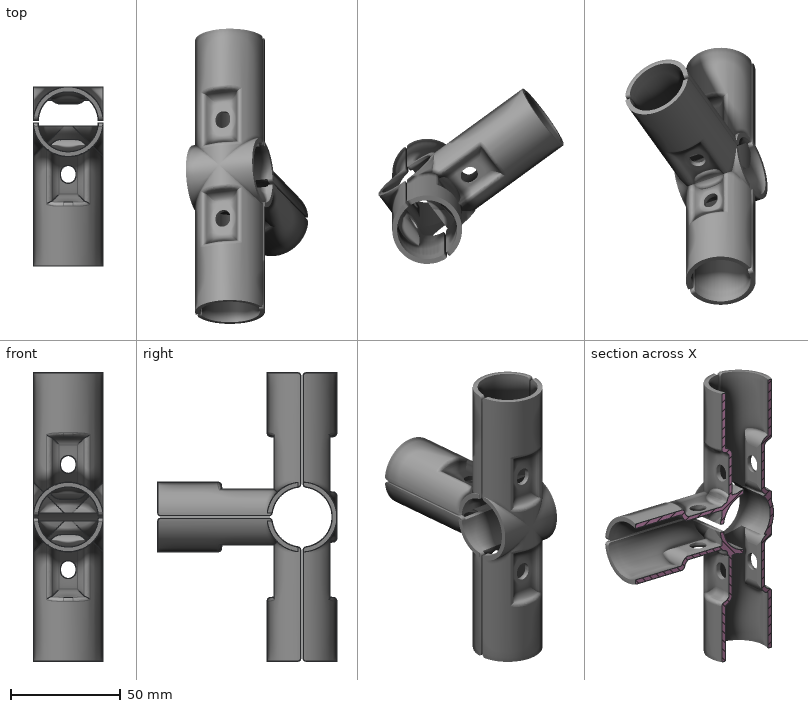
import cadquery as cq
import math

outer_radius = 16.0
bore_radius = 13.7
arm_length = 66.0
half_gap = 0.5
core_setback = 1.8
bore_meeting = bore_radius * math.sin(math.pi / 4)
split_round = 1.6

pocket_floor = 10.3
pocket_width = 15.7
pocket_start = 11.5
pocket_end = 36.7
floor_round = 3.7
rim_round = 1.8
boss_width = 18.1
boss_wall = 2.2

slot_center = 24.0
slot_width = 7.0
slot_length = 8.0

beyond = 3 * arm_length


def upright_cylinder(radius):
    return cq.Workplane("XY").circle(radius).extrude(arm_length)


def cross_cylinder(radius):
    return cq.Workplane("YZ").circle(radius).extrude(outer_radius, both=True)


def block_from(y_limit, z_limit):
    """Large block that fills y < -y_limit and z > z_limit."""
    block = cq.Workplane("XY").box(beyond, beyond, beyond, centered=(True, False, False))
    return block.translate((0, -beyond - y_limit, z_limit))


def rounded_block(width, growth):
    """Block on the -Y side that reaches past the pocket by the growth; its floor edges are rounded."""
    length = pocket_end - pocket_start + 2 * growth
    block = cq.Workplane("XY").box(width, outer_radius, length, centered=(True, False, False))
    block = block.translate((0, growth - pocket_floor - outer_radius, pocket_start - growth))
    return block.faces(">Y").edges().fillet(floor_round + growth)


def is_pocket_rim(edge):
    """True for an edge that lies on the outer surface, where the pocket breaks through it."""
    points = [edge.positionAt(place) for place in (0, 0.5, 1)]
    center = edge.Center()
    on_surface = all(math.isclose(math.hypot(p.x, p.y), outer_radius, abs_tol=0.001) for p in points)
    return on_surface and center.y < 0 and 0 < center.z < arm_length and abs(center.x) < bore_radius


def half_arm():
    """Half tube on the -Y side that runs up +Z, with its pocket, boss and slot."""
    arm = upright_cylinder(outer_radius).cut(rounded_block(pocket_width, 0))
    rim = [edge for edge in arm.edges().vals() if is_pocket_rim(edge)]
    arm = arm.newObject(rim).fillet(rim_round)
    arm = arm.cut(upright_cylinder(bore_radius).cut(rounded_block(boss_width, boss_wall)))
    slot = cq.Workplane("XZ").center(0, slot_center).slot2D(slot_length, slot_width, 90)
    arm = arm.cut(slot.extrude(outer_radius))
    arm = arm.intersect(block_from(half_gap, 0))
    return arm.faces(">Y").edges(">Z").fillet(split_round)


def bore_clearance(block):
    """Cut the cross bore from a block and round the two corners where it breaks out."""
    bored = block.cut(cq.Workplane("YZ").circle(bore_radius).extrude(beyond, both=True))
    corners = [edge for edge in bored.edges("|X").vals()
               if math.isclose(math.hypot(edge.Center().y, edge.Center().z), bore_radius, abs_tol=0.001)]
    return bored.newObject(corners).fillet(split_round)


def corner_shell(arm, side):
    """Front shell above (side 1) or below (side -1): two half arms and a quarter of the cross tube."""
    upper_arm = arm.intersect(block_from(half_gap, core_setback))
    front_arm = arm.mirror("XY").rotate((0, 0, 0), (1, 0, 0), -90)
    front_arm = front_arm.intersect(block_from(core_setback, half_gap))
    cross_tube = cross_cylinder(outer_radius).intersect(block_from(core_setback, core_setback))
    shell = upper_arm.union(front_arm).union(cross_tube)
    shell = shell.intersect(bore_clearance(block_from(half_gap, half_gap)))
    return shell if side > 0 else shell.mirror("XY")


def back_shell(arm):
    """Rear shell: the +Y halves of both upright arms and of the cross tube.

    It is shaped on the -Y side and then turned half a turn about Z.
    """
    arms = arm.union(arm.mirror("XY"))
    upright_bore = upright_cylinder(bore_radius).intersect(block_from(-beyond / 2, bore_meeting))
    cross_tube = cross_cylinder(outer_radius).cut(upright_bore).cut(upright_bore.mirror("XY"))
    shell = arms.union(cross_tube)
    shell = shell.intersect(bore_clearance(block_from(half_gap, -arm_length)))
    return shell.rotate((0, 0, 0), (0, 0, 1), 180)


front_half_arm = half_arm()

corner_shells = []
for side in (1, -1):
    corner_shells.append(corner_shell(front_half_arm, side))

back = back_shell(front_half_arm)

result = cq.Compound.makeCompound([*[shell.val() for shell in corner_shells], back.val()])